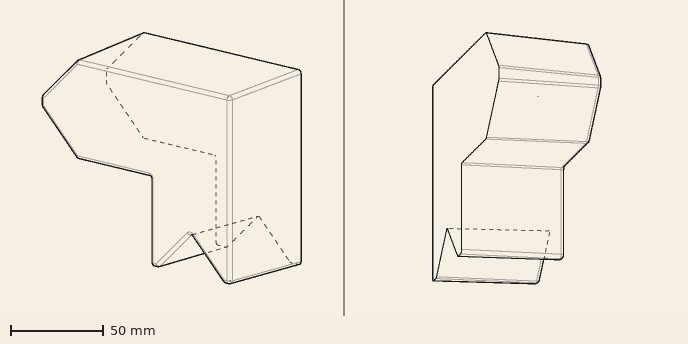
import cadquery as cq
import math

length = 136.7
height = 110.5
depth = 58.4
arm_width = 59.9
flat_width = 7.7
draft_angle = 2.0
edge_radius = 2.0
inner_radius = 1.0
match_distance = 0.01

point_length = (arm_width - flat_width) / 2
notch_depth = (arm_width - 2 * flat_width) / 2
arm_bottom = height - arm_width
leg_left = length - arm_width
tip_middle = height - arm_width / 2
notch_middle = length - arm_width / 2

outline = [
    (0, tip_middle + flat_width / 2),
    (point_length, height),
    (length, height),
    (length, 0),
    (length - flat_width, 0),
    (notch_middle, notch_depth),
    (leg_left + flat_width, 0),
    (leg_left, 0),
    (leg_left, arm_bottom),
    (point_length, arm_bottom),
    (0, tip_middle - flat_width / 2),
]


def mitred_inset(points, inset):
    """Move every side of a clockwise outline inward and meet the sides in sharp corners."""
    moved = []
    for i, (x, z) in enumerate(points):
        before = points[i - 1]
        after = points[(i + 1) % len(points)]
        heading_in = math.atan2(z - before[1], x - before[0])
        heading_out = math.atan2(after[1] - z, after[0] - x)
        middle = math.atan2(
            math.sin(heading_in) + math.sin(heading_out),
            math.cos(heading_in) + math.cos(heading_out),
        )
        reach = inset / math.cos(heading_out - middle)
        moved.append((x + reach * math.sin(middle), z - reach * math.cos(middle)))
    return moved


def elbow_block():
    """Elbow with an arrow point and a notched foot, tapering toward -Y."""
    front_outline = mitred_inset(outline, depth * math.tan(math.radians(draft_angle)))
    back = cq.Workplane("XZ").polyline(outline).close()
    front = back.workplane(offset=depth).polyline(front_outline).close()
    return front.loft(ruled=True)


def is_inner_corner(edge):
    """Tell whether an edge starts at the elbow's inner corner or at the root of the notch."""
    inner_corners = [cq.Vector(x, 0, z) for x, z in ((leg_left, arm_bottom), (notch_middle, notch_depth))]
    ends = (edge.startPoint(), edge.endPoint())
    return any((end - corner).Length < match_distance for end in ends for corner in inner_corners)


def round_wall_corners(body):
    """Round the corners between side walls, the two inner ones with a smaller radius."""
    outer_corners = body.edges("not(#Y)").filter(lambda edge: not is_inner_corner(edge))
    body = outer_corners.fillet(edge_radius)
    return body.edges("not(#Y)").filter(is_inner_corner).fillet(inner_radius)


def round_front_rim(body):
    """Round the rim of the front face."""
    return body.faces("<Y").edges().fillet(edge_radius)


result = round_front_rim(round_wall_corners(elbow_block()))